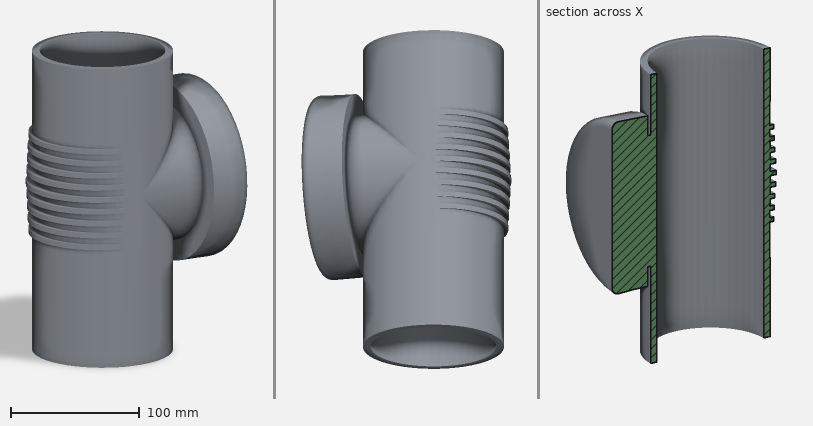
import cadquery as cq
import math

pipe_length = 241.0
pipe_radius = 55.0
bore_radius = 49.0

branch_height = 136.0
branch_end = 90.4
collar_start = 57.4
collar_root_radius = 71.3
collar_rim_radius = 72.0
rim_fillet = 6.0

rib_steps_each_side = 4
rib_pitch = 9.6
rib_thickness = 4.0
middle_rib_height = 5.8
outer_rib_height = 3.4
middle_rib_end = 12.3
outer_rib_end = 15.5
rib_end_height = 0.5


def cylinder_along_y(radius, length):
    axis_start = cq.Vector(0, 0, branch_height)
    return cq.Workplane(cq.Solid.makeCylinder(radius, length, axis_start, cq.Vector(0, 1, 0)))


def make_collar():
    length = branch_end - collar_start
    start = cq.Vector(0, collar_start, branch_height)
    cone = cq.Solid.makeCone(collar_root_radius, collar_rim_radius, length, start, cq.Vector(0, 1, 0))
    return cq.Workplane(cone).faces(">Y").edges().fillet(rim_fillet)


def make_rib(step):
    fraction = abs(step) / rib_steps_each_side
    height = middle_rib_height + fraction * (outer_rib_height - middle_rib_height)
    end_distance = middle_rib_end + fraction * (outer_rib_end - middle_rib_end)
    end_radius = pipe_radius + rib_end_height
    half_width = math.sqrt(end_radius**2 - end_distance**2)
    bottom = branch_height + step * rib_pitch - rib_thickness / 2
    return (
        cq.Workplane("XY", origin=(0, 0, bottom))
        .moveTo(-half_width, -end_distance)
        .threePointArc((0, -pipe_radius - height), (half_width, -end_distance))
        .close()
        .extrude(rib_thickness)
    )


body = cq.Workplane("XY").circle(pipe_radius).extrude(pipe_length)
body = body.union(cylinder_along_y(pipe_radius, branch_end))
body = body.union(make_collar())

for step in range(-rib_steps_each_side, rib_steps_each_side + 1):
    body = body.union(make_rib(step))

pipe_bore = cq.Workplane("XY").circle(bore_radius).extrude(pipe_length)
result = body.cut(pipe_bore)